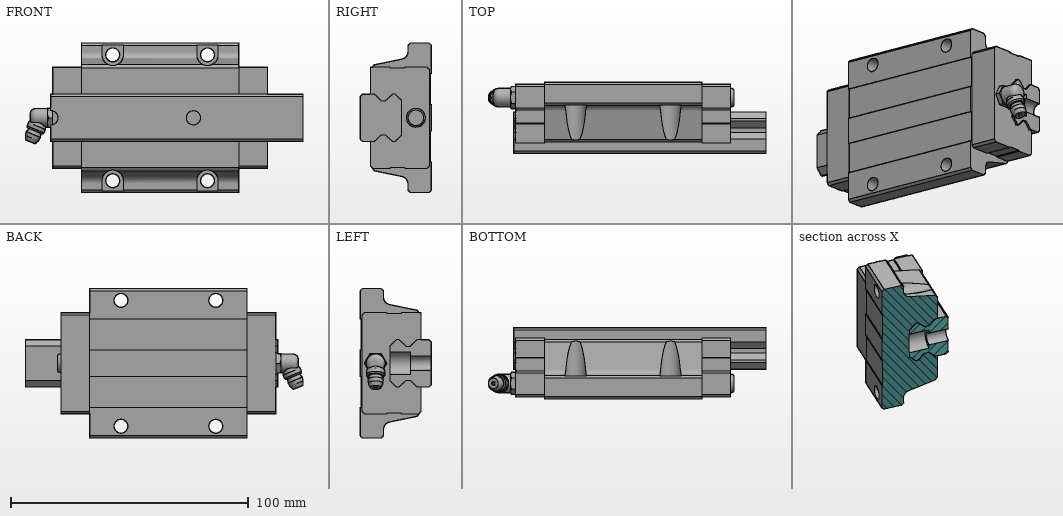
import cadquery as cq
import math


rail_start = -46.0
rail_length = 106.2
rail_height = 17.5
rail_half_width = 20.0 / 2
rail_waist_half_width = 7.1
rail_crown_half_width = 7.2
rail_base_chamfer = 1.0
rail_waist_low = 8.9
rail_waist_high = 10.6
rail_crest_low = 13.7
rail_crest_high = 14.7
rail_hole_pitch = 60.0
rail_hole_inset = 0.1
rail_hole_count = 2
rail_hole_diameter = 6.0
rail_bore_diameter = 9.5
rail_bore_depth = 8.8

block_length = 66.1
block_top = 30.0
block_bottom = 4.9
block_half_width = 63.0 / 2
flange_bottom = 20.1
edge_chamfer = 1.0
skirt_root_half_width = 25.2
skirt_edge_half_width = 22.3
skirt_edge_height = 6.0
skirt_foot_half_width = 20.9
flange_fillet = 3.0
top_recess_inner = 5.6
top_recess_outer = 18.6
top_recess_depth = 0.4

mount_pitch_x = 39.8
mount_pitch_z = 52.9
mount_hole_diameter = 5.7
spot_face_width = 9.0
spot_face_height = 20.3

cap_length = 12.2
cap_top = 29.2
cap_bottom = 4.3
cap_half_width = 21.3
cap_chamfer = 1.0
cap_groove_low = 12.9
cap_groove_high = 19.0
cap_groove_depth = 0.4
cap_groove_low_slope = 0.4
cap_groove_high_slope = 0.7

fitting_height = 23.5
hex_corner_diameter = 9.5
hex_flat_diameter = hex_corner_diameter * math.cos(math.pi / 6)
hex_length = 2.1
hex_bevel = 0.41
elbow_diameter = 8.0
elbow_length = 7.4
elbow_round = 2.5
plug_length = 1.4
plug_end_diameter = 6.5
plug_bulge = 0.18

nozzle_tilt = 22.5
nozzle_pivot_back = 5.1
collar_radius = 7.8 / 2
neck_radius = 5.5 / 2
head_radius = 6.5 / 2
shoulder_radius = 3.3
collar_rim_radius = 3.5
taper_radius = 6.1 / 2
tip_radius = 4.4 / 2
shoulder_start = 1.8
collar_start = 3.7
collar_full_end = 5.3
collar_end = 6.0
head_start = 7.6
taper_end = 9.2
nozzle_end = 11.0
grease_hole_diameter = 1.5
grease_hole_depth = 1.2

cap_face = block_length / 2 + cap_length


def mirrored_outline(half_outline):
    """Close an outline of (height, half width) points by mirroring it across Z = 0."""
    other_half = [(y, -z) for y, z in reversed(half_outline)]
    return half_outline + other_half


def prism_along_x(outline, x_start, length):
    """Extrude an outline of (Y, Z) points along +X."""
    return cq.Workplane("YZ", origin=(x_start, 0, 0)).polyline(outline).close().extrude(length)


def cylinder_along_y(x, z, y_start, diameter, length):
    """Cylinder that rises along +Y from y_start."""
    base = cq.Plane(origin=(x, y_start, z), xDir=(1, 0, 0), normal=(0, 1, 0))
    return cq.Workplane(base).circle(diameter / 2).extrude(length)


def rail_prism():
    """Full length rail section without holes."""
    half = [
        (0, rail_half_width - rail_base_chamfer),
        (rail_base_chamfer, rail_half_width),
        (rail_waist_low - (rail_half_width - rail_waist_half_width), rail_half_width),
        (rail_waist_low, rail_waist_half_width),
        (rail_waist_high, rail_waist_half_width),
        (rail_crest_low, rail_half_width),
        (rail_crest_high, rail_half_width),
        (rail_height, rail_crown_half_width),
    ]
    return prism_along_x(mirrored_outline(half), rail_start, rail_length)


def make_rail():
    """Rail with a row of counterbored fixing holes."""
    rail = rail_prism()
    for index in range(rail_hole_count):
        x = rail_start + rail_hole_inset + index * rail_hole_pitch
        bore_floor = rail_height - rail_bore_depth
        rail = rail.cut(cylinder_along_y(x, 0, 0, rail_hole_diameter, rail_height))
        rail = rail.cut(cylinder_along_y(x, 0, bore_floor, rail_bore_diameter, rail_bore_depth))
    return rail


def make_block():
    """Flanged steel block with filleted skirts and two shallow recesses along its top."""
    half = [
        (block_bottom, skirt_foot_half_width),
        (skirt_edge_height, skirt_edge_half_width),
        (flange_bottom, skirt_root_half_width),
        (flange_bottom, block_half_width - edge_chamfer),
        (flange_bottom + edge_chamfer, block_half_width),
        (block_top - edge_chamfer, block_half_width),
        (block_top, block_half_width - edge_chamfer),
    ]
    block = prism_along_x(mirrored_outline(half), -block_length / 2, block_length)
    for side in (-1, 1):
        root = cq.selectors.NearestToPointSelector((0, flange_bottom, side * skirt_root_half_width))
        block = block.edges("|X").edges(root).fillet(flange_fillet)
        recess = cq.Workplane("XY").box(block_length, 2 * top_recess_depth, top_recess_outer - top_recess_inner)
        recess_middle = side * (top_recess_inner + top_recess_outer) / 2
        block = block.cut(recess.translate((0, block_top, recess_middle)))
    return block


def mount_hole_cutter(x, side):
    """Through hole with a slot shaped spot face, open to the flange edge and running down the skirt."""
    z = side * mount_pitch_z / 2
    reach = block_half_width - mount_pitch_z / 2
    hole = cylinder_along_y(x, z, block_bottom, mount_hole_diameter, block_top)
    spot_face = cylinder_along_y(x, z, 0, spot_face_width, spot_face_height)
    slot = cq.Workplane("XY").box(spot_face_width, spot_face_height, reach)
    slot = slot.translate((x, spot_face_height / 2, z + side * reach / 2))
    return hole.union(spot_face).union(slot)


def make_cap(x_start):
    """End cap with a shallow side groove; only one of its lower edges, at -Z, is chamfered."""
    half = [
        (cap_bottom, cap_half_width),
        (cap_groove_low - cap_groove_low_slope, cap_half_width),
        (cap_groove_low, cap_half_width - cap_groove_depth),
        (cap_groove_high - cap_groove_high_slope, cap_half_width - cap_groove_depth),
        (cap_groove_high, cap_half_width),
        (cap_top - cap_chamfer, cap_half_width),
        (cap_top, cap_half_width - cap_chamfer),
    ]
    cap = prism_along_x(mirrored_outline(half), x_start, cap_length)
    return cap.edges("|X and <Y").edges("<Z").chamfer(cap_chamfer)


def hex_bevel_envelope():
    """Round blank whose conical shoulder bevels the outer corners of the hexagon."""
    face = -cap_face - hex_length
    half_section = [
        (-cap_face, fitting_height),
        (-cap_face, fitting_height + hex_corner_diameter / 2),
        (face + hex_bevel, fitting_height + hex_corner_diameter / 2),
        (face, fitting_height + hex_flat_diameter / 2),
        (face, fitting_height),
    ]
    blank = cq.Workplane("XY").polyline(half_section).close()
    return blank.revolve(360, (0, fitting_height, 0), (1, fitting_height, 0))


def make_elbow():
    """Hexagon and round-ended elbow that stand out of the left end cap."""
    hex_plane = cq.Plane(origin=(-cap_face, fitting_height, 0), xDir=(0, 1, 0), normal=(-1, 0, 0))
    hexagon = cq.Workplane(hex_plane).polygon(6, hex_corner_diameter).extrude(hex_length)
    hexagon = hexagon.intersect(hex_bevel_envelope())
    elbow = cq.Workplane(hex_plane).workplane(offset=hex_length).circle(elbow_diameter / 2).extrude(elbow_length)
    elbow = elbow.faces("<X").edges().fillet(elbow_round)
    return hexagon.union(elbow)


def make_nozzle():
    """Turned grease nozzle, tilted down and away from the cap."""
    tilt = math.radians(nozzle_tilt)
    axis_plane = cq.Plane(
        origin=(-cap_face - nozzle_pivot_back, fitting_height, 0),
        xDir=(math.cos(tilt), 0, -math.sin(tilt)),
        normal=(0, 1, 0),
    )
    profile = [
        (0, 0),
        (shoulder_radius, 0),
        (shoulder_radius, shoulder_start),
        (collar_radius, collar_start),
        (collar_radius, collar_full_end),
        (collar_rim_radius, collar_end),
        (neck_radius, collar_end),
        (head_radius, head_start),
        (taper_radius, taper_end),
        (tip_radius, nozzle_end),
        (grease_hole_diameter / 2, nozzle_end),
        (grease_hole_diameter / 2, nozzle_end - grease_hole_depth),
        (0, nozzle_end - grease_hole_depth),
    ]
    return cq.Workplane(axis_plane).polyline(profile).close().revolve(360, (0, 0, 0), (0, 1, 0))


def make_plug():
    """Plug head on the right end cap, with a rim that curves in smoothly to its flat end."""
    plug_end = cap_face + plug_length
    return (
        cq.Workplane("XY")
        .moveTo(cap_face, fitting_height)
        .lineTo(cap_face, fitting_height + elbow_diameter / 2)
        .sagittaArc((plug_end, fitting_height + plug_end_diameter / 2), plug_bulge)
        .lineTo(plug_end, fitting_height)
        .close()
        .revolve(360, (0, fitting_height, 0), (1, fitting_height, 0))
    )


def make_carriage():
    """Block, end caps and fittings as one body, with a channel that fits the rail."""
    carriage = make_block()
    for x in (-mount_pitch_x / 2, mount_pitch_x / 2):
        for side in (-1, 1):
            carriage = carriage.cut(mount_hole_cutter(x, side))
    for cap_start in (-cap_face, block_length / 2):
        carriage = carriage.union(make_cap(cap_start))
    for fitting in (make_elbow(), make_nozzle(), make_plug()):
        carriage = carriage.union(fitting)
    return carriage.cut(rail_prism())


rail = make_rail()
carriage = make_carriage()
result = cq.Compound.makeCompound([rail.val(), *carriage.vals()])